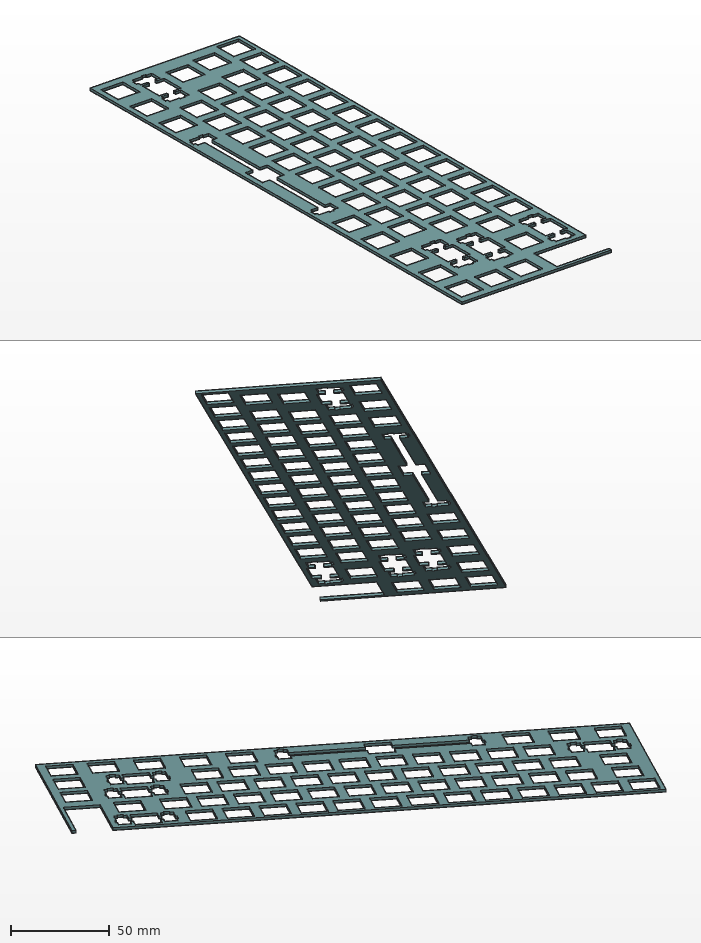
import cadquery as cq

PLATE_LENGTH = 307.0
PLATE_WIDTH = 96.0
PLATE_THICKNESS = 1.5

RIGHT_COLUMN = 15
RIGHT_COLUMN_DISTANCE = 285.8
KEY_PITCH = RIGHT_COLUMN_DISTANCE / RIGHT_COLUMN
FIRST_KEY_INSET = 9.5
FIRST_KEY_X = FIRST_KEY_INSET
TOP_ROW_Y = PLATE_WIDTH - FIRST_KEY_INSET

RIM = 2.52
SWITCH_SIZE = 2 * (FIRST_KEY_INSET - RIM)

STABILIZER_WIDTH = 6.8
STABILIZER_TOP = 5.5
STABILIZER_BOTTOM = -6.8
FOOT_WIDTH = 3.0
FOOT_BOTTOM = -8.0
SIDE_NOTCH_DEPTH = 0.8
SIDE_NOTCH_TOP = 2.3
SIDE_NOTCH_BOTTOM = -0.5
WIRE_SLOT_HEIGHT = 4.5
WIDE_KEY_REACH = 12.0
SPACEBAR_REACH = 50.0

CORNER_NOTCH_DEPTH = 33.5

BACKSPACE = 13.5
ENTER = 13 + 3 / 8
LEFT_SHIFT = 5 / 8
RIGHT_SHIFT = 13 + 1 / 8
SPACEBAR = 6 + 3 / 8


MODIFIER_STEP = 5 / 4


def key_run(first, count, step=1):
    """Columns of evenly spaced neighbouring keys."""
    return [first + i * step for i in range(count)]


KEY_ROWS = [
    key_run(0, 13) + [BACKSPACE],
    [1 / 4] + key_run(1.5, 12) + [13 + 3 / 4],
    [3 / 8] + key_run(1 + 3 / 4, 11) + [ENTER, RIGHT_COLUMN],
    [LEFT_SHIFT] + key_run(2 + 1 / 4, 10) + [RIGHT_SHIFT, RIGHT_COLUMN],
    key_run(1 / 8, 3, MODIFIER_STEP) + [SPACEBAR]
    + key_run(10 + 1 / 8, 4, MODIFIER_STEP) + [RIGHT_COLUMN],
]

STABILIZED_KEYS = [
    (BACKSPACE, 0, WIDE_KEY_REACH),
    (ENTER, 2, WIDE_KEY_REACH),
    (LEFT_SHIFT, 3, WIDE_KEY_REACH),
    (RIGHT_SHIFT, 3, WIDE_KEY_REACH),
    (SPACEBAR, 4, SPACEBAR_REACH),
]


def key_center(column, row):
    return FIRST_KEY_X + column * KEY_PITCH, TOP_ROW_Y - row * KEY_PITCH


def through_box(left, right, bottom, top):
    """Rectangular cutter spanning the plate thickness."""
    return cq.Workplane("XY").box(
        right - left, top - bottom, PLATE_THICKNESS, centered=False
    ).translate((left, bottom, 0))


def centered_cutter(x, y, half_width, bottom, top):
    return through_box(x - half_width, x + half_width, y + bottom, y + top)


def stabilizer_cutter(column, row, reach):
    """Two footed pockets with outer side notches, joined by the wire slot."""
    x, y = key_center(column, row)
    half_width = STABILIZER_WIDTH / 2
    notch_reach = reach + half_width + SIDE_NOTCH_DEPTH

    cutter = centered_cutter(x, y, reach, -WIRE_SLOT_HEIGHT / 2, WIRE_SLOT_HEIGHT / 2)
    for side in (-1, 1):
        pocket_x = x + side * reach
        notch_ends = sorted((pocket_x, x + side * notch_reach))
        pocket = centered_cutter(pocket_x, y, half_width, STABILIZER_BOTTOM, STABILIZER_TOP)
        foot = centered_cutter(pocket_x, y, FOOT_WIDTH / 2, FOOT_BOTTOM, STABILIZER_TOP)
        notch = through_box(*notch_ends, y + SIDE_NOTCH_BOTTOM, y + SIDE_NOTCH_TOP)
        cutter = cutter.union(pocket).union(foot).union(notch)
    return cutter


def corner_notch_cutter():
    center_x, _ = key_center(RIGHT_COLUMN, 0)
    return centered_cutter(
        center_x, PLATE_WIDTH, KEY_PITCH / 2, -CORNER_NOTCH_DEPTH, 0
    )


switch_centers = [
    key_center(column, row)
    for row, columns in enumerate(KEY_ROWS)
    for column in columns
]
plate = through_box(0, PLATE_LENGTH, 0, PLATE_WIDTH)
switch_openings = (
    cq.Workplane("XY")
    .pushPoints(switch_centers)
    .rect(SWITCH_SIZE, SWITCH_SIZE)
    .extrude(PLATE_THICKNESS)
)
plate = plate.cut(switch_openings)

for column, row, reach in STABILIZED_KEYS:
    plate = plate.cut(stabilizer_cutter(column, row, reach))

result = plate.cut(corner_notch_cutter())